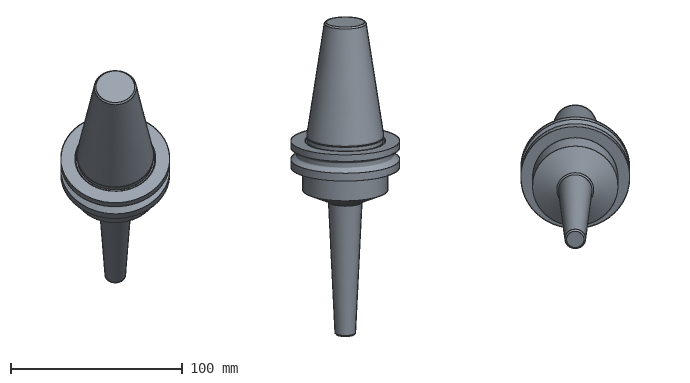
import cadquery as cq
import math

total_length = 188.4
flange_top = 116.8
flange_bottom = 101.0
collar_bottom = 87.2
nose_top = 79.9
nose_blend = 1.0

shank_end_radius = 12.2
shank_end_chamfer = 1.0
gauge_radius = 22.5
gauge_height = 120.2
gauge_land = 0.8
neck_radius = 22.0
neck_top = 118.7

relief_outer_radius = 23.5
relief_floor_radius = 23.0
relief_depth = 0.5

flange_diameter = 63.5
flange_radius = flange_diameter / 2
groove_floor_radius = 28.3
groove_center = 109.3
groove_mouth_half_width = 3.5
groove_half_angle = math.radians(30)
groove_root_fillet = 0.8
groove_depth = flange_radius - groove_floor_radius
groove_floor_half_width = groove_mouth_half_width - groove_depth * math.tan(groove_half_angle)

collar_radius = 24.9
nose_root_radius = 9.8
nose_tip_radius = 6.0
nose_tip_chamfer = 1.0

nose = [
    (0, 0),
    (nose_tip_radius - nose_tip_chamfer, 0),
    (nose_tip_radius, nose_tip_chamfer),
    (nose_root_radius, nose_top),
    (nose_root_radius + nose_blend, nose_top + nose_blend),
]
collar = [
    (collar_radius, collar_bottom),
    (collar_radius, flange_bottom),
]
flange = [
    (flange_radius, flange_bottom),
    (flange_radius, groove_center - groove_mouth_half_width),
    (groove_floor_radius, groove_center - groove_floor_half_width),
    (groove_floor_radius, groove_center + groove_floor_half_width),
    (flange_radius, groove_center + groove_mouth_half_width),
    (flange_radius, flange_top),
]
relief = [
    (relief_outer_radius, flange_top),
    (relief_floor_radius, flange_top - relief_depth),
    (neck_radius, flange_top - relief_depth),
]
shank = [
    (neck_radius, neck_top),
    (gauge_radius, gauge_height - gauge_land),
    (gauge_radius, gauge_height),
    (shank_end_radius, total_length - shank_end_chamfer),
    (shank_end_radius - shank_end_chamfer, total_length),
    (0, total_length),
]

body = (
    cq.Workplane("XZ")
    .polyline(nose + collar + flange + relief + shank)
    .close()
    .revolve(360, (0, 0, 0), (0, 1, 0))
)

groove_roots = cq.selectors.BoxSelector(
    (-flange_radius, -flange_radius, groove_center - groove_floor_half_width - groove_root_fillet),
    (flange_radius, flange_radius, groove_center + groove_floor_half_width + groove_root_fillet),
)
result = body.edges("%CIRCLE").edges(groove_roots).fillet(groove_root_fillet)